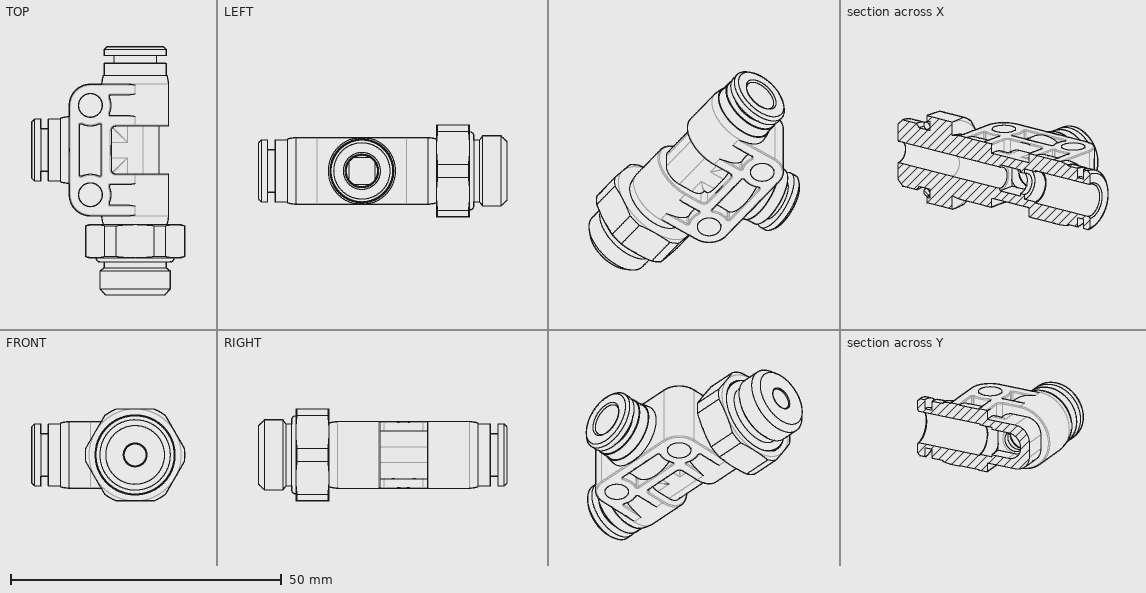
import cadquery as cq
import math


body_radius = 6.2
plate_reach = 12.18
hole_offset = 8.25
hole_radius = 2.17
plate_corner_radius = plate_reach - hole_offset
rim_fillet = 0.2

slot_left = -4.4
slot_half_length = 4.4
slot_corner_radius = 0.8
boss_radius = 3.8
pocket_corner_radius = 0.2
run_pocket_left = -4.75
run_pocket_start = 6.4
run_pocket_end = 10.15
branch_pocket_left = -10.25
branch_pocket_right = -6.3
branch_pocket_half_length = 4.82
branch_floor_radius = 6.1

tube_half_width = 4.42
tube_corner_radius = 3.0
valley_fillet = 0.12

shoulder_end = 13.78
shoulder_radius = 5.9
sleeve_radius = 5.75
sleeve_end = 16.05
sleeve_chamfer = 0.1
neck_radius = 3.95
neck_end = 17.42
port_end = 19.1
port_chamfer = 0.55

tube_bore_radius = 3.1
tube_bore_end = 6.0
bore_chamfer = 0.32
seat_bore_radius = 2.9
seat_bore_end = 3.5
chamber_radius = 2.5
window_half_width = 2.4
stud_bore_radius = 2.03
stud_bore_chamfer = 0.17

hex_start = -shoulder_end
hex_length = 6.1
hex_flats = 17.0
hex_corner_radius = 9.19
hex_chamfer_depth = 0.22
hex_end = hex_start - hex_length
relief_radius = 5.75
relief_end = -21.74
thread_radius = 6.5
thread_start = -22.3
thread_chamfer_radial = 1.08
thread_chamfer_length = 1.15
stud_end = -26.8

groove_radius = 7.4
ring_outer_radius = 7.22
ring_section_radius = (ring_outer_radius - relief_radius) / 2
ring_center_radius = ring_outer_radius - ring_section_radius
ring_center = -19.93
groove_floor = ring_center + ring_section_radius


def revolve_about_y(profile):
    """Turn a closed (radius, y) profile into a solid about the Y axis."""
    return profile.close().revolve(360, (0, 0, 0), (0, 1, 0))


def turn_to_branch(solid):
    """Move a feature of the +Y arm onto the -X arm."""
    return solid.rotate((0, 0, 0), (0, 0, 1), 90)


def run_cylinder(radius, start, end):
    """Cylinder on the Y axis between two positions."""
    plane = cq.Plane(origin=(0, start, 0), xDir=(-1, 0, 0), normal=(0, 1, 0))
    return cq.Workplane(plane).circle(radius).extrude(end - start)


def through_box(left, right, bottom, top):
    """Upright block through the full plate thickness."""
    block = cq.Workplane("XY").rect(right - left, top - bottom).extrude(body_radius, both=True)
    return block.translate(((left + right) / 2, (bottom + top) / 2, 0))


def hole_cylinders(radius):
    """Upright cylinders at both mounting holes."""
    points = [(-hole_offset, hole_offset), (-hole_offset, -hole_offset)]
    return cq.Workplane("XY").pushPoints(points).circle(radius).extrude(body_radius, both=True)


def make_plate():
    """Ribbed plate with its open pockets and rounded rims."""
    plate = through_box(-plate_reach, 0, -plate_reach, plate_reach)
    plate = plate.edges("|Z and <X").fillet(plate_corner_radius)

    slot = through_box(slot_left, -slot_left, -slot_half_length, slot_half_length)
    plate = plate.cut(slot.edges("|Z").fillet(slot_corner_radius))

    bosses = hole_cylinders(boss_radius)
    branch_pocket = through_box(branch_pocket_left, branch_pocket_right,
                                -branch_pocket_half_length, branch_pocket_half_length)
    plate = plate.cut(branch_pocket.cut(bosses).edges("|Z").fillet(pocket_corner_radius))
    for side in (1, -1):
        ends = sorted((side * run_pocket_start, side * run_pocket_end))
        run_pocket = through_box(run_pocket_left, -run_pocket_left, *ends)
        plate = plate.cut(run_pocket.cut(bosses).edges("|Z").fillet(pocket_corner_radius))

    plate = plate.faces("|Z").edges("not(>X)").fillet(rim_fillet)
    return plate


def make_core():
    """Barrels and slim tubes that fill the plate pockets from inside."""
    square = cq.Workplane("XY").rect(2 * tube_half_width, 2 * tube_half_width)
    tube = square.extrude(plate_reach).edges("|Z").fillet(tube_corner_radius)
    upward = tube.rotate((0, 0, 0), (1, 0, 0), -90)
    core = upward.union(upward.mirror("XZ")).union(turn_to_branch(upward))
    valleys = cq.selectors.BoxSelector((-tube_half_width, -tube_half_width, -tube_half_width),
                                       (0, tube_half_width, tube_half_width), boundingbox=False)
    core = core.edges(valleys).edges("%ELLIPSE").fillet(valley_fillet)
    for side in (1, -1):
        barrel = run_cylinder(body_radius, side * slot_half_length, side * plate_reach)
        inner_rim = "<Y" if side > 0 else ">Y"
        core = core.union(barrel.faces(inner_rim).edges().fillet(rim_fillet))
    branch_barrel = run_cylinder(branch_floor_radius, -slot_left, plate_reach)
    return core.union(turn_to_branch(branch_barrel))


def make_shoulder():
    """Rounded step from a barrel down towards a port, on the +Y arm."""
    middle_y = (plate_reach + shoulder_end) / 2
    middle_radius = body_radius - (body_radius - shoulder_radius) / 3
    profile = (
        cq.Workplane("XY")
        .moveTo(0, plate_reach)
        .lineTo(body_radius, plate_reach)
        .threePointArc((middle_radius, middle_y), (shoulder_radius, shoulder_end))
        .lineTo(0, shoulder_end)
    )
    return revolve_about_y(profile)


def make_port():
    """Sleeve, neck and release collar of a push-in port, on the +Y arm."""
    profile = (
        cq.Workplane("XY")
        .moveTo(0, shoulder_end)
        .lineTo(sleeve_radius, shoulder_end)
        .lineTo(sleeve_radius, sleeve_end - sleeve_chamfer)
        .lineTo(sleeve_radius - sleeve_chamfer, sleeve_end)
        .lineTo(neck_radius, sleeve_end)
        .lineTo(neck_radius, neck_end)
        .lineTo(sleeve_radius, neck_end)
        .lineTo(sleeve_radius, port_end - port_chamfer)
        .lineTo(sleeve_radius - port_chamfer, port_end)
        .lineTo(0, port_end)
    )
    return revolve_about_y(profile)


def make_port_bore():
    """Stepped tube bore with a lead-in chamfer, on the +Y arm."""
    profile = (
        cq.Workplane("XY")
        .moveTo(0, seat_bore_end)
        .lineTo(seat_bore_radius, seat_bore_end)
        .lineTo(seat_bore_radius, tube_bore_end)
        .lineTo(tube_bore_radius, tube_bore_end)
        .lineTo(tube_bore_radius, port_end - bore_chamfer)
        .lineTo(tube_bore_radius + bore_chamfer, port_end)
        .lineTo(0, port_end)
    )
    return revolve_about_y(profile)


def make_tee():
    """Tee with plate, two push-in ports and the flow passages."""
    shoulder = make_shoulder()
    arm = shoulder.union(make_port())
    housing = make_plate().union(make_core())
    housing = housing.union(arm).union(turn_to_branch(arm)).union(shoulder.mirror("XZ"))
    housing = housing.cut(hole_cylinders(hole_radius))

    port_bore = make_port_bore()
    housing = housing.cut(port_bore).cut(turn_to_branch(port_bore))
    housing = housing.cut(run_cylinder(stud_bore_radius, -shoulder_end, port_end))
    housing = housing.cut(run_cylinder(chamber_radius, -window_half_width, window_half_width))
    window = cq.Workplane("XY").box(seat_bore_end, 2 * window_half_width, 2 * chamber_radius)
    return housing.cut(window.translate((-seat_bore_end / 2, 0, 0)))


def make_hex():
    """Hexagon with turned corners and chamfered end faces."""
    corner_distance = hex_flats / math.cos(math.pi / 6)
    prism = cq.Workplane("XZ", origin=(0, hex_start, 0)).polygon(6, corner_distance).extrude(hex_length)
    face_radius = hex_flats / 2
    envelope = (
        cq.Workplane("XY")
        .moveTo(0, hex_start)
        .lineTo(face_radius, hex_start)
        .lineTo(hex_corner_radius, hex_start - hex_chamfer_depth)
        .lineTo(hex_corner_radius, hex_end + hex_chamfer_depth)
        .lineTo(face_radius, hex_end)
        .lineTo(0, hex_end)
    )
    return prism.intersect(revolve_about_y(envelope))


def make_stud():
    """Hex stud with ring groove, thread relief and threaded end."""
    shank = (
        cq.Workplane("XY")
        .moveTo(0, groove_floor)
        .lineTo(relief_radius, groove_floor)
        .lineTo(relief_radius, relief_end)
        .lineTo(thread_radius, thread_start)
        .lineTo(thread_radius, stud_end + thread_chamfer_length)
        .lineTo(thread_radius - thread_chamfer_radial, stud_end)
        .lineTo(0, stud_end)
    )
    bore = (
        cq.Workplane("XY")
        .moveTo(0, hex_start)
        .lineTo(stud_bore_radius, hex_start)
        .lineTo(stud_bore_radius, stud_end + stud_bore_chamfer)
        .lineTo(stud_bore_radius + stud_bore_chamfer, stud_end)
        .lineTo(0, stud_end)
    )
    groove = run_cylinder(groove_radius, groove_floor, hex_end)
    return make_hex().cut(groove).union(revolve_about_y(shank)).cut(revolve_about_y(bore))


def make_sealing_ring():
    """Round-section ring resting on the thread relief and the groove floor."""
    center = cq.Vector(0, ring_center, 0)
    torus = cq.Solid.makeTorus(ring_center_radius, ring_section_radius, center, cq.Vector(0, 1, 0))
    return cq.Workplane(obj=torus)


fitting = make_tee().union(make_stud())
sealing_ring = make_sealing_ring()

result = cq.Compound.makeCompound([fitting.val(), sealing_ring.val()])